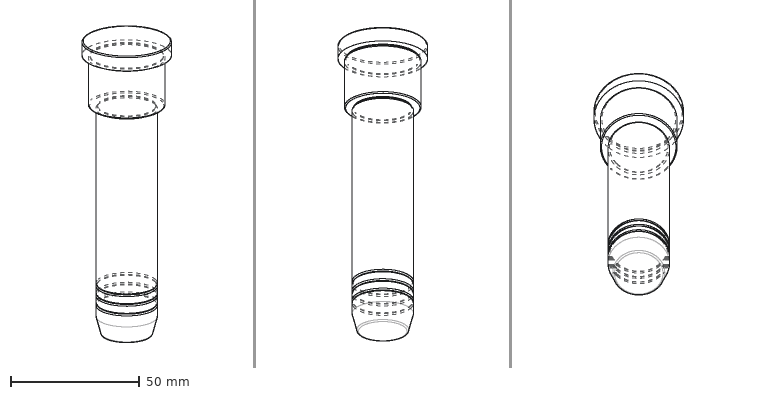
import cadquery as cq
import math

total_length = 122.0
head_radius = 35.0 / 2
head_height = 6.0
head_chamfer = 0.5
collar_radius = 30.0 / 2
collar_height = 21.0
collar_chamfer = 0.5
shaft_radius = 24.0 / 2

relief_height = 1.1
relief_depth = 0.6
neck_height = 0.4

groove_width = 1.1
groove_depth = 0.5
groove_pitch = 4.0
groove_count = 3
lowest_groove_z = 12.6

taper_height = 7.5
taper_angle = 15.0
tip_rounding = 0.7

head_bottom = total_length - head_height
collar_bottom = head_bottom - collar_height
tip_radius = shaft_radius - taper_height * math.tan(math.radians(taper_angle))


def cylinder(radius, bottom, top):
    return cq.Workplane("XY").workplane(offset=bottom).circle(radius).extrude(top - bottom)


def revolve_profile(profile):
    return profile.close().revolve(360, (0, 0, 0), (0, 1, 0))


def relief(radius, shoulder_z):
    """Ring cut below a shoulder: straight neck, then a sloped run-out to the full radius."""
    neck = radius - relief_depth
    profile = (
        cq.Workplane("XZ")
        .moveTo(radius, shoulder_z)
        .lineTo(neck, shoulder_z)
        .lineTo(neck, shoulder_z - neck_height)
        .lineTo(radius, shoulder_z - relief_height)
    )
    return revolve_profile(profile)


def oil_groove(center_z):
    """V-shaped ring cut in the shaft surface."""
    profile = (
        cq.Workplane("XZ")
        .moveTo(shaft_radius, center_z - groove_width / 2)
        .lineTo(shaft_radius - groove_depth, center_z)
        .lineTo(shaft_radius, center_z + groove_width / 2)
    )
    return revolve_profile(profile)


head = cylinder(head_radius, head_bottom, total_length).faces(">Z").edges().chamfer(head_chamfer)
collar = cylinder(collar_radius, collar_bottom, head_bottom).faces("<Z").edges().chamfer(collar_chamfer)
collar = collar.cut(relief(collar_radius, head_bottom))

shaft = cylinder(shaft_radius, taper_height, collar_bottom)
shaft = shaft.cut(relief(shaft_radius, collar_bottom))
for index in range(groove_count):
    shaft = shaft.cut(oil_groove(lowest_groove_z + index * groove_pitch))

tip_profile = (
    cq.Workplane("XZ")
    .lineTo(tip_radius, 0)
    .lineTo(shaft_radius, taper_height)
    .lineTo(0, taper_height)
)
tip = revolve_profile(tip_profile).faces("<Z").edges().fillet(tip_rounding)

result = head.union(collar).union(shaft).union(tip)